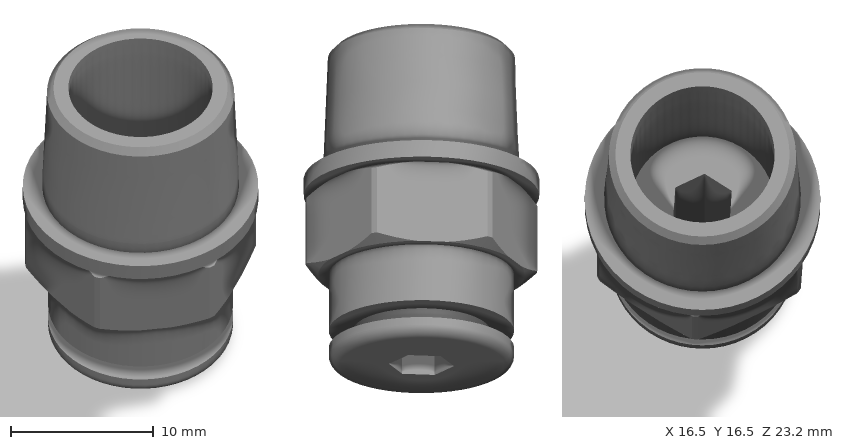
import cadquery as cq
import math

ring_top = 1.28
neck_top = 2.53
body_top = 6.68
hex_top = 12.57
flange_top = 13.8
collar_top = 14.65
total_height = 23.2

ring_radius = 6.5
ring_fillet = 0.7
neck_radius = 4.8
body_radius = 6.5
flange_radius = 8.25
collar_radius = 6.89
taper_end_radius = 6.56
end_chamfer = 0.46

hex_across_flats = 14.3
hex_corner_radius = 8.15
hex_end_radius = 7.24
hex_chamfer_angle = 30.0

bore_radius = 5.05
bore_floor = hex_top
key_across_flats = 3.97


def cylinder(bottom, top, radius):
    return cq.Workplane("XY").workplane(offset=bottom).circle(radius).extrude(top - bottom)


def hexagon(bottom, top, across_flats):
    across_corners = across_flats / math.cos(math.radians(30))
    return cq.Workplane("XY").workplane(offset=bottom).polygon(6, across_corners).extrude(top - bottom)


def wrench_hexagon():
    """Hexagon with its corners turned round and conical chamfers at both ends."""
    radial_cut = hex_corner_radius - hex_end_radius
    axial_cut = radial_cut * math.tan(math.radians(hex_chamfer_angle))
    envelope = cylinder(body_top, hex_top, hex_corner_radius)
    envelope = envelope.faces(">Z or <Z").edges().chamfer(axial_cut, radial_cut)
    return hexagon(body_top, hex_top, hex_across_flats).intersect(envelope)


def threaded_end():
    """Straight collar, tapered thread blank and chamfered tip, as one revolved profile."""
    return (
        cq.Workplane("XZ")
        .moveTo(0, flange_top)
        .lineTo(collar_radius, flange_top)
        .lineTo(collar_radius, collar_top)
        .lineTo(taper_end_radius, total_height - end_chamfer)
        .lineTo(taper_end_radius - end_chamfer, total_height)
        .lineTo(0, total_height)
        .close()
        .revolve(360, (0, 0, 0), (0, 1, 0))
    )


release_ring = cylinder(0, ring_top, ring_radius).faces("<Z").edges().fillet(ring_fillet)

result = (
    release_ring
    .union(cylinder(ring_top, neck_top, neck_radius))
    .union(cylinder(neck_top, body_top, body_radius))
    .union(wrench_hexagon())
    .union(cylinder(hex_top, flange_top, flange_radius))
    .union(threaded_end())
    .cut(cylinder(bore_floor, total_height, bore_radius))
    .cut(hexagon(0, bore_floor, key_across_flats))
)